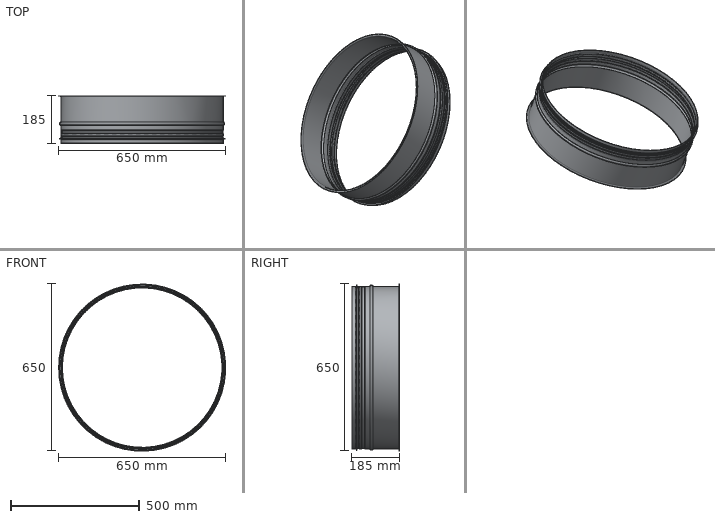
import cadquery as cq
import math


LENGTH = 185.0
SHEET = 0.7
BORE_RADIUS = 631.6 / 2
TUBE_RADIUS = BORE_RADIUS + SHEET
FLANGE_RADIUS = 650.0 / 2
FLANGE_BEND = 2.0

BEAD_CENTRE = 76.5
BEAD_HALF_WIDTH = 6.5
BEAD_HEIGHT = 5.0

GROOVE_WIDTH = 17.0
GROOVE_DEPTH = 5.5
GROOVE_STARTS = (14.0, 36.2)
WALL_BEND = 2.0
FLOOR_RADIUS = TUBE_RADIUS - GROOVE_DEPTH

SEAL_RADIUS = 630.6 / 2
SEAL_SHOULDER_RADIUS = 627.0 / 2
SEAL_SHOULDER_WIDTH = 2.0
LIP_RADIUS = 644.6 / 2
LIP_BASE = 2.5
LIP_TIP = 1.0

DIAGONAL = math.sqrt(0.5)


def turn(profile):
    """Revolve a closed profile about Y, with the seam on the -X side."""
    ring = profile.close().revolve(360, (0, 0, 0), (0, 1, 0))
    return ring.rotate((0, 0, 0), (0, 1, 0), 180)


def quarter_bend(profile, centre, start, end):
    """Add a quarter arc; start and end are offsets along the axes from its centre."""
    middle = [c + DIAGONAL * (s + e) for c, s, e in zip(centre, start, end)]
    finish = [c + e for c, e in zip(centre, end)]
    return profile.threePointArc(middle, finish)


def groove_line(profile, start, inset, forward):
    """Add one groove along the outer (inset 0) or inner (inset SHEET) skin of the collar."""
    end = start + GROOVE_WIDTH
    mouth_bend = WALL_BEND - inset
    floor_bend = WALL_BEND + inset
    mouth_centre = TUBE_RADIUS - WALL_BEND
    floor_centre = FLOOR_RADIUS + WALL_BEND
    step = 1 if forward else -1
    first, last = (start, end) if forward else (end, start)
    first_floor = first + 2 * step * WALL_BEND
    last_floor = last - 2 * step * WALL_BEND
    mouth_step = step * mouth_bend
    floor_step = step * floor_bend

    profile = profile.lineTo(TUBE_RADIUS - inset, first)
    profile = quarter_bend(profile, (mouth_centre, first), (mouth_bend, 0), (0, mouth_step))
    profile = profile.lineTo(floor_centre, first_floor - floor_step)
    profile = quarter_bend(profile, (floor_centre, first_floor), (0, -floor_step), (-floor_bend, 0))
    profile = profile.lineTo(FLOOR_RADIUS - inset, last_floor)
    profile = quarter_bend(profile, (floor_centre, last_floor), (-floor_bend, 0), (0, floor_step))
    profile = profile.lineTo(mouth_centre, last - mouth_step)
    return quarter_bend(profile, (mouth_centre, last), (0, -mouth_step), (mouth_bend, 0))


def make_collar():
    """Thin tube with a flange, a hollow stop bead and two hollow seal grooves."""
    bead_start = BEAD_CENTRE - BEAD_HALF_WIDTH
    bead_end = BEAD_CENTRE + BEAD_HALF_WIDTH
    bead_top = TUBE_RADIUS + BEAD_HEIGHT
    bend_centre = (TUBE_RADIUS + FLANGE_BEND, LENGTH - SHEET - FLANGE_BEND)
    inner_bend = FLANGE_BEND + SHEET

    profile = cq.Workplane("XY").moveTo(BORE_RADIUS, 0).lineTo(TUBE_RADIUS, 0)
    for start in GROOVE_STARTS:
        profile = groove_line(profile, start, 0, True)
    profile = profile.lineTo(TUBE_RADIUS, bead_start)
    profile = profile.threePointArc((bead_top, BEAD_CENTRE), (TUBE_RADIUS, bead_end))
    profile = profile.lineTo(TUBE_RADIUS, bend_centre[1])
    profile = quarter_bend(profile, bend_centre, (-FLANGE_BEND, 0), (0, FLANGE_BEND))
    profile = profile.lineTo(FLANGE_RADIUS, LENGTH - SHEET).lineTo(FLANGE_RADIUS, LENGTH)

    profile = profile.lineTo(bend_centre[0], LENGTH)
    profile = quarter_bend(profile, bend_centre, (0, inner_bend), (-inner_bend, 0))
    profile = profile.lineTo(BORE_RADIUS, bead_end - SHEET)
    profile = profile.threePointArc((bead_top - SHEET, BEAD_CENTRE), (BORE_RADIUS, bead_start + SHEET))
    for start in reversed(GROOVE_STARTS):
        profile = groove_line(profile, start, SHEET, False)
    return turn(profile)


def seal_profile(groove_start):
    """Open seal section filling a groove, ending at the front edge of its outer face."""
    front = groove_start + WALL_BEND
    back = groove_start + GROOVE_WIDTH - WALL_BEND
    floor_centre = FLOOR_RADIUS + WALL_BEND
    profile = cq.Workplane("XY").moveTo(SEAL_RADIUS, front + SEAL_SHOULDER_WIDTH)
    profile = profile.lineTo(SEAL_SHOULDER_RADIUS, front)
    profile = profile.lineTo(floor_centre, front)
    profile = quarter_bend(profile, (floor_centre, front + WALL_BEND), (0, -WALL_BEND), (-WALL_BEND, 0))
    profile = profile.lineTo(FLOOR_RADIUS, back - WALL_BEND)
    profile = quarter_bend(profile, (floor_centre, back - WALL_BEND), (-WALL_BEND, 0), (0, WALL_BEND))
    profile = profile.lineTo(SEAL_SHOULDER_RADIUS, back)
    return profile.lineTo(SEAL_RADIUS, back - SEAL_SHOULDER_WIDTH)


def make_lip_seal(groove_start):
    """Seal with a thin lip standing out at the front edge of its outer face."""
    lip_front = groove_start + WALL_BEND + SEAL_SHOULDER_WIDTH
    profile = seal_profile(groove_start).lineTo(SEAL_RADIUS, lip_front + LIP_BASE)
    profile = profile.lineTo(LIP_RADIUS, lip_front + LIP_TIP).lineTo(LIP_RADIUS, lip_front)
    return turn(profile)


def make_plain_seal(groove_start):
    """Seal without a lip."""
    return turn(seal_profile(groove_start))


collar = make_collar()
lip_seal = make_lip_seal(GROOVE_STARTS[0])
plain_seal = make_plain_seal(GROOVE_STARTS[1])

result = cq.Compound.makeCompound([collar.val(), lip_seal.val(), plain_seal.val()])